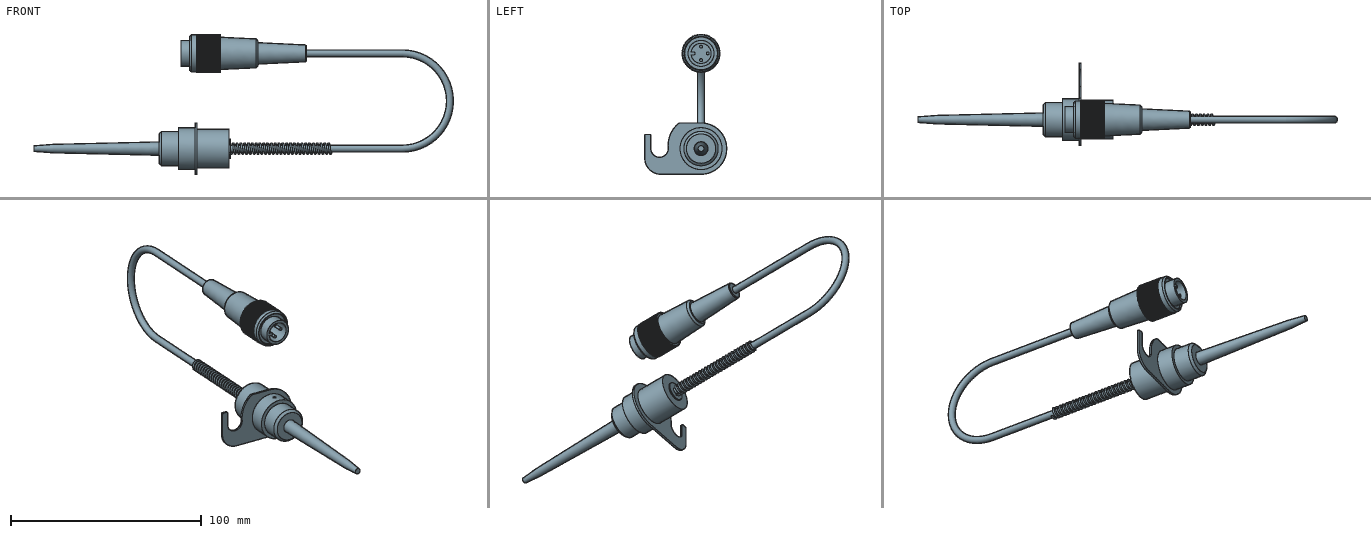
import cadquery as cq
import math

PLUG_Z = 49.9

TIP_DIA = 3.0
TIP_LENGTH = 10.0
TAPER_START_DIA = 4.6
NECK_X = 62.5
NECK_DIA = 7.0
PROBE_END_X = 69.9

NOSE_X = 65.5
NOSE_DIA = 18.0
NOSE_CHAMFER = 1.3
PROBE_HOLE_DIA = 7.3
COLLAR_X = 75.5
COLLAR_DIA = 22.0
PLATE_X = 84.4
PLATE_THICKNESS = 1.0
REAR_DIA = 20.5
REAR_END_X = 102.2
BOSS_DIA = 10.0
BOSS_LENGTH = 0.7
SET_HOLE_DIA = 1.5
SET_HOLE_DEPTH = 2.2

PLATE_DIA = 27.0
HOOK_SLOT_Y = 21.8
HOOK_SLOT_WIDTH = 9.0
HOOK_ARM_WIDTH = 3.3
HOOK_ARM_TOP_Z = 7.5
HOOK_ARM_ROUNDING = 0.7
HOOK_CORNER_RADIUS = 8.5
SHOULDER_Y = 11.5
SHOULDER_MID_Y = 15.5
SHOULDER_MID_Z = 8.5

CABLE_DIA = 3.7
CABLE_BEND_X = 193.0
SPRING_WIRE_DIA = 1.0
SPRING_MEAN_DIA = 5.0
SPRING_PITCH = 2.0
SPRING_END_X = 156.0

BARREL_X = 77.0
BARREL_DIA = 13.6
BARREL_BORE_DIA = 10.5
BARREL_BORE_DEPTH = 13.2
PIN_DIA = 1.5
PIN_CIRCLE_RADIUS = 3.5
PIN_RECESS = 2.5
PIN_ANGLES = (90, 180, 270)
KEY_WIDTH = 1.5
KEY_INNER_RADIUS = 3.0

RING_X = 81.5
RING_DIA = 19.5
RING_CHAMFER = 0.9
RING_MOUTH_DIA = 17.1
RING_MOUTH_DEPTH = 1.0
KNURL_X = 85.0
KNURL_DIA = 20.0
KNURL_DEPTH = 0.5
KNURL_TEETH = 90

BOOT_X = 97.8
BOOT_DIA = 17.1
BOOT_SHOULDER_X = 117.3
BOOT_SHOULDER_DIA = 15.4
BOOT_CHAMFER = 1.0
BOOT_SLEEVE_DIA = 11.5
BOOT_END_X = 142.5
BOOT_END_DIA = 9.0
BOOT_END_CHAMFER = 0.5


def revolved(stations, axis_z=0):
    """Solid of revolution about the X line at height axis_z, from (x, diameter) stations."""
    outline = [(stations[0][0], 0)]
    outline += [(x, diameter / 2) for x, diameter in stations]
    outline += [(stations[-1][0], 0)]
    profile = cq.Workplane("XY").polyline(outline).close()
    return profile.revolve(360, (0, 0, 0), (1, 0, 0)).translate((0, 0, axis_z))


def cylinder(x_start, x_end, diameter, y=0, z=0):
    """Cylinder along X."""
    return cq.Workplane("YZ", origin=(x_start, y, z)).circle(diameter / 2).extrude(x_end - x_start)


def make_probe():
    return revolved([
        (0, TIP_DIA),
        (TIP_LENGTH, TAPER_START_DIA),
        (NECK_X, NECK_DIA),
        (PROBE_END_X, NECK_DIA),
    ])


def make_housing():
    boss_end_x = REAR_END_X + BOSS_LENGTH
    housing = revolved([
        (NOSE_X, NOSE_DIA - 2 * NOSE_CHAMFER),
        (NOSE_X + NOSE_CHAMFER, NOSE_DIA),
        (COLLAR_X, NOSE_DIA),
        (COLLAR_X, COLLAR_DIA),
        (PLATE_X, COLLAR_DIA),
        (PLATE_X, REAR_DIA),
        (REAR_END_X, REAR_DIA),
        (REAR_END_X, BOSS_DIA),
        (boss_end_x, BOSS_DIA),
    ])
    hole_x = (COLLAR_X + PLATE_X) / 2
    hole_bottom_z = COLLAR_DIA / 2 - SET_HOLE_DEPTH
    set_hole = (
        cq.Workplane("XY", origin=(hole_x, 0, hole_bottom_z))
        .circle(SET_HOLE_DIA / 2)
        .extrude(2 * SET_HOLE_DEPTH)
    )
    probe_hole = cylinder(NOSE_X, PROBE_END_X, PROBE_HOLE_DIA)
    return housing.cut(set_hole).cut(probe_hole)


def make_hook_plate():
    plate_radius = PLATE_DIA / 2
    slot_radius = HOOK_SLOT_WIDTH / 2
    slot_inner_y = HOOK_SLOT_Y - slot_radius
    slot_outer_y = HOOK_SLOT_Y + slot_radius
    arm_outer_y = slot_outer_y + HOOK_ARM_WIDTH
    corner_y = arm_outer_y - HOOK_CORNER_RADIUS
    corner_z = HOOK_CORNER_RADIUS - plate_radius
    corner_mid = HOOK_CORNER_RADIUS * math.sqrt(0.5)
    plate = (
        cq.Workplane("YZ", origin=(PLATE_X, 0, 0))
        .moveTo(0, plate_radius)
        .threePointArc((-plate_radius, 0), (0, -plate_radius))
        .lineTo(corner_y, -plate_radius)
        .threePointArc((corner_y + corner_mid, corner_z - corner_mid), (arm_outer_y, corner_z))
        .lineTo(arm_outer_y, HOOK_ARM_TOP_Z)
        .lineTo(slot_outer_y, HOOK_ARM_TOP_Z)
        .lineTo(slot_outer_y, 0)
        .threePointArc((HOOK_SLOT_Y, -slot_radius), (slot_inner_y, 0))
        .threePointArc((SHOULDER_MID_Y, SHOULDER_MID_Z), (SHOULDER_Y, plate_radius))
        .close()
        .extrude(PLATE_THICKNESS)
    )
    arm_tip_corners = plate.edges("|X").edges(cq.selectors.BoxSelector(
        (PLATE_X, slot_outer_y - HOOK_ARM_ROUNDING, HOOK_ARM_TOP_Z - HOOK_ARM_ROUNDING),
        (PLATE_X + PLATE_THICKNESS, arm_outer_y + HOOK_ARM_ROUNDING, HOOK_ARM_TOP_Z + HOOK_ARM_ROUNDING),
    ))
    plate = arm_tip_corners.fillet(HOOK_ARM_ROUNDING)
    return plate.cut(cylinder(PLATE_X, PLATE_X + PLATE_THICKNESS, REAR_DIA))


def make_spring():
    start_x = REAR_END_X + BOSS_LENGTH + SPRING_WIRE_DIA / 2
    length = SPRING_END_X - SPRING_WIRE_DIA / 2 - start_x
    mean_radius = SPRING_MEAN_DIA / 2
    helix = cq.Wire.makeHelix(SPRING_PITCH, length, mean_radius)
    wire = (
        cq.Workplane("XZ", origin=(mean_radius, 0, 0))
        .circle(SPRING_WIRE_DIA / 2)
        .sweep(cq.Workplane(obj=helix), isFrenet=True)
    )
    return wire.rotate((0, 0, 0), (0, 1, 0), 90).translate((start_x, 0, 0))


def make_cable():
    bend_radius = PLUG_Z / 2
    start_x = REAR_END_X + BOSS_LENGTH
    path = (
        cq.Workplane("XZ")
        .moveTo(start_x, 0)
        .lineTo(CABLE_BEND_X, 0)
        .threePointArc((CABLE_BEND_X + bend_radius, bend_radius), (CABLE_BEND_X, PLUG_Z))
        .lineTo(BOOT_END_X, PLUG_Z)
    )
    return cq.Workplane("YZ", origin=(start_x, 0, 0)).circle(CABLE_DIA / 2).sweep(path)


def make_plug_barrel():
    floor_x = BARREL_X + BARREL_BORE_DEPTH
    barrel = cylinder(BARREL_X, BOOT_X, BARREL_DIA, z=PLUG_Z)
    barrel = barrel.cut(cylinder(BARREL_X, floor_x, BARREL_BORE_DIA, z=PLUG_Z))
    for angle in PIN_ANGLES:
        pin_y = PIN_CIRCLE_RADIUS * math.cos(math.radians(angle))
        pin_z = PLUG_Z + PIN_CIRCLE_RADIUS * math.sin(math.radians(angle))
        barrel = barrel.union(cylinder(BARREL_X + PIN_RECESS, floor_x, PIN_DIA, pin_y, pin_z))

    key_round_y = KEY_INNER_RADIUS + KEY_WIDTH / 2
    wall_middle_y = (BARREL_BORE_DIA + BARREL_DIA) / 4
    rib = cq.Workplane("XY").box(
        BARREL_BORE_DEPTH, wall_middle_y - key_round_y, KEY_WIDTH, centered=(False, False, True)
    )
    barrel = barrel.union(rib.translate((BARREL_X, key_round_y, PLUG_Z)))
    return barrel.union(cylinder(BARREL_X, floor_x, KEY_WIDTH, key_round_y, PLUG_Z))


def make_coupling_ring():
    smooth = revolved([
        (RING_X, RING_DIA - 2 * RING_CHAMFER),
        (RING_X + RING_CHAMFER, RING_DIA),
        (KNURL_X, RING_DIA),
        (KNURL_X, KNURL_DIA - 2 * KNURL_DEPTH),
        (BOOT_X, KNURL_DIA - 2 * KNURL_DEPTH),
    ], PLUG_Z)
    points = []
    for step in range(2 * KNURL_TEETH):
        radius = KNURL_DIA / 2 - KNURL_DEPTH * (step % 2)
        angle = math.pi * step / KNURL_TEETH
        points.append((radius * math.cos(angle), radius * math.sin(angle)))
    knurl = (
        cq.Workplane("YZ", origin=(KNURL_X, 0, PLUG_Z)).polyline(points).close().extrude(BOOT_X - KNURL_X)
    )
    ring = smooth.union(knurl)
    ring = ring.cut(cylinder(RING_X, RING_X + RING_MOUTH_DEPTH, RING_MOUTH_DIA, z=PLUG_Z))
    return ring.cut(cylinder(RING_X, BOOT_X, BARREL_DIA, z=PLUG_Z))


def make_boot():
    return revolved([
        (BOOT_X, BOOT_DIA),
        (BOOT_SHOULDER_X - BOOT_CHAMFER, BOOT_SHOULDER_DIA),
        (BOOT_SHOULDER_X, BOOT_SHOULDER_DIA - 2 * BOOT_CHAMFER),
        (BOOT_SHOULDER_X, BOOT_SLEEVE_DIA),
        (BOOT_END_X - BOOT_END_CHAMFER, BOOT_END_DIA),
        (BOOT_END_X, BOOT_END_DIA - 2 * BOOT_END_CHAMFER),
    ], PLUG_Z)


probe = make_probe()
housing = make_housing()
hook_plate = make_hook_plate()
spring = make_spring()
cable = make_cable()
plug_barrel = make_plug_barrel()
coupling_ring = make_coupling_ring()
boot = make_boot()

result = cq.Compound.makeCompound([
    probe.val(),
    housing.val(),
    hook_plate.val(),
    spring.val(),
    cable.val(),
    plug_barrel.val(),
    coupling_ring.val(),
    boot.val(),
])